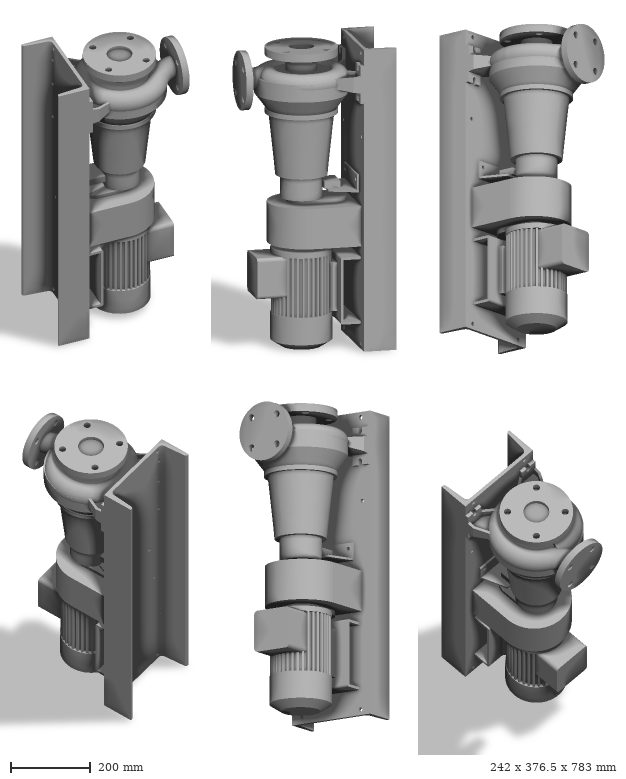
import cadquery as cq
import math


CHANNEL_WIDTH = 239.5
CHANNEL_LENGTH = 780.0
CHANNEL_DEPTH = 84.5
WEB_THICKNESS = 9.5
FLANGE_ROOT = 16.0
FLANGE_TIP = 9.5
ROOT_FILLET = 12.0
TIP_FILLET = 6.0
WEB_FACE_Y = -132.0
CORNER_HOLE_DIAMETER = 12.0
MOUNT_HOLE_DIAMETER = 10.0
GUARD_HOLE_DIAMETER = 8.0
HOLE_REACH = 16.0
CORNER_HOLE_X = 90.0
CORNER_HOLE_INSET = 14.0
FOOT_HOLE_X = 95.0
SPARE_HOLE_Z = 550.5
SUPPORT_HOLE_X = 55.5
SUPPORT_HOLE_Z = 431.5
GUARD_HOLE_X = 77.0
GUARD_HOLE_Z = 311.0

FRAME_BOTTOM_Z = 381.0
FRAME_RADIUS = 53.0
LANTERN_BOTTOM_Z = 440.0
LANTERN_BOTTOM_RADIUS = 66.0
LANTERN_TOP_RADIUS = 83.0
RING_BOTTOM_Z = 600.0
RING_TOP_Z = 611.5
RING_RADIUS = 92.5
CASING_CONE_RADIUS = 88.5
CASING_BOTTOM_Z = 652.0
CASING_TOP_Z = 697.0
CASING_RADIUS = 119.0

VOLUTE_Z = 690.0
TUBE_RADIUS = 28.0
VOLUTE_RIGHT = 94.0
VOLUTE_LEFT = 92.0
START_ARC_RADIUS = 84.0
START_ANGLE = 75.0
COVER_RADIUS = 78.0
COVER_TOP_Z = 709.5

FLANGE_HOLE_DIAMETER = 18.0
SUCTION_TOP_Z = 770.0
SUCTION_THICKNESS = 20.0
SUCTION_RADIUS = 92.5
SUCTION_BOLT_CIRCLE = 145.0
SUCTION_NECK_RADIUS = 40.0
SUCTION_BORE_DIAMETER = 65.0
SUCTION_BORE_DEPTH = 10.0
DISCHARGE_FACE_Y = 160.0
DISCHARGE_THICKNESS = 18.0
DISCHARGE_RADIUS = 75.0
DISCHARGE_BOLT_CIRCLE = 110.0

FOOT_HALF_WIDTH = CHANNEL_WIDTH / 2
PAD_THICKNESS = 9.5
PAD_HEIGHT = 97.0
SLOT_WIDTH = 12.5
FOOT_BOLT_SPACING = 75.0
FOOT_SHOULDER_Y = -106.0
FOOT_TOP_Y = -65.0
FOOT_TOP_HALF_WIDTH = 98.0
ARCH_HALF_WIDTH = 72.0
ARCH_TOP_HALF_WIDTH = 35.0
ARCH_TOP_Y = -106.5
FOOT_BASE_THICKNESS = 44.0
FOOT_TOP_THICKNESS = 25.0
FOOT_WALL = 7.0

SUPPORT_BOTTOM_Z = 400.0
SUPPORT_TOP_Z = 446.0
SUPPORT_SHEET = 5.5
UPRIGHT_WIDTH = 141.0
LEG_TIP_WIDTH = 86.0
LEG_TIP_Y = -59.5
BLOCK_WIDTH = 63.0
BLOCK_HEIGHT = 18.0
BLOCK_FRONT_Y = -52.0
BLOCK_BACK_Y = -94.0

GUARD_AXIS_Y = -8.0
GUARD_RADIUS = 95.0
GUARD_BOTTOM_Z = 266.0
GUARD_TOP_Z = 370.0
COLLAR_RADIUS = 46.0
COLLAR_LOW_AXIS_Y = -70.0
COLLAR_TOP_LENGTH = 10.0
COLLAR_BOTTOM_LENGTH = 12.5

MOTOR_RADIUS = 78.0
MOTOR_TOP_Z = 252.0
MOTOR_FLANGE_Z = 239.0
FIN_BOTTOM_Z = 85.0
COVER_CONE_Z = 15.0
MOTOR_BOTTOM_Z = -3.0
COVER_END_RADIUS = 50.0
FIN_ROOT_RADIUS = 69.0
FIN_TIP_RADIUS = 77.0
FIN_THICKNESS = 5.5
FIN_ROOT_OVERLAP = 4.0
FIN_COUNT = 36
BOX_HALF_WIDTH = 53.0
BOX_FACE_Y = 127.0
BOX_BOTTOM_Z = 133.0
BOX_FILLET = 9.5
CRADLE_WIDTH = 175.5
CRADLE_FACE_Y = -81.0
CRADLE_BOTTOM_Z = 65.0
CRADLE_SHEET = 7.0
CRADLE_BEND = 5.5
SADDLE_HALF_WIDTH = 51.0
SADDLE_NECK_HALF_WIDTH = 39.0
SADDLE_SHOULDER_Y = -70.0
SADDLE_NECK_Y = -61.0
SADDLE_BOTTOM_Z = 92.5
SADDLE_TOP_Z = 217.0


def block(x_min, x_max, y_min, y_max, z_min, z_max):
    """Box given by its limits along each axis."""
    size = (x_max - x_min, y_max - y_min, z_max - z_min)
    return cq.Workplane("XY").box(*size, centered=False).translate((x_min, y_min, z_min))


def centred_block(width, y_min, y_max, z_min, z_max):
    """Box that is symmetric about X = 0."""
    return block(-width / 2, width / 2, y_min, y_max, z_min, z_max)


def disc(radius, z_min, z_max):
    """Round disc on the pump axis."""
    return cq.Workplane("XY").workplane(offset=z_min).circle(radius).extrude(z_max - z_min)


def mirrored_pair(x, z):
    return [(-x, z), (x, z)]


def web_hole_cutters(points, diameter):
    """Cylinders along Y that reach through the channel web and the parts bolted against it."""
    plane = cq.Workplane("XZ", origin=(0, WEB_FACE_Y + HOLE_REACH, 0))
    return plane.pushPoints(points).circle(diameter / 2).extrude(2 * HOLE_REACH)


def bolt_pattern(workplane, bolt_circle):
    """Four flange holes placed between the main axes of the flange."""
    side = bolt_circle / math.sqrt(2)
    return workplane.rect(side, side, forConstruction=True).vertices().circle(FLANGE_HOLE_DIAMETER / 2)


def make_channel():
    half = CHANNEL_WIDTH / 2
    tip_y = WEB_FACE_Y - CHANNEL_DEPTH
    web_back_y = WEB_FACE_Y - WEB_THICKNESS
    channel = (
        cq.Workplane("XY")
        .polyline([
            (-half, WEB_FACE_Y),
            (half, WEB_FACE_Y),
            (half, tip_y),
            (half - FLANGE_TIP, tip_y),
            (half - FLANGE_ROOT, web_back_y),
            (-half + FLANGE_ROOT, web_back_y),
            (-half + FLANGE_TIP, tip_y),
            (-half, tip_y),
        ])
        .close()
        .extrude(CHANNEL_LENGTH)
    )
    for side in (-1, 1):
        root = cq.NearestToPointSelector((side * (half - FLANGE_ROOT), web_back_y, CHANNEL_LENGTH / 2))
        channel = channel.edges("|Z").edges(root).fillet(ROOT_FILLET)
        tip = cq.NearestToPointSelector((side * (half - FLANGE_TIP), tip_y, CHANNEL_LENGTH / 2))
        channel = channel.edges("|Z").edges(tip).fillet(TIP_FILLET)

    corner_holes = []
    for z in (CORNER_HOLE_INSET, CHANNEL_LENGTH - CORNER_HOLE_INSET):
        corner_holes += mirrored_pair(CORNER_HOLE_X, z)
    mount_holes = mirrored_pair(SUPPORT_HOLE_X, SUPPORT_HOLE_Z)
    for z in (SPARE_HOLE_Z, VOLUTE_Z - FOOT_BOLT_SPACING / 2, VOLUTE_Z + FOOT_BOLT_SPACING / 2):
        mount_holes += mirrored_pair(FOOT_HOLE_X, z)
    guard_holes = mirrored_pair(GUARD_HOLE_X, GUARD_HOLE_Z)

    channel = channel.cut(web_hole_cutters(corner_holes, CORNER_HOLE_DIAMETER))
    channel = channel.cut(web_hole_cutters(mount_holes, MOUNT_HOLE_DIAMETER))
    return channel.cut(web_hole_cutters(guard_holes, GUARD_HOLE_DIAMETER))


def make_casing():
    """Turned body of the casing, lantern and bearing frame."""
    return (
        cq.Workplane("XZ")
        .polyline([
            (0, FRAME_BOTTOM_Z),
            (FRAME_RADIUS, FRAME_BOTTOM_Z),
            (FRAME_RADIUS, LANTERN_BOTTOM_Z),
            (LANTERN_BOTTOM_RADIUS, LANTERN_BOTTOM_Z),
            (LANTERN_TOP_RADIUS, RING_BOTTOM_Z),
            (RING_RADIUS, RING_BOTTOM_Z),
            (RING_RADIUS, RING_TOP_Z),
            (CASING_CONE_RADIUS, RING_TOP_Z),
            (CASING_RADIUS, CASING_BOTTOM_Z),
            (CASING_RADIUS, CASING_TOP_Z),
            (0, CASING_TOP_Z),
        ])
        .close()
        .revolve(360, (0, 0), (0, 1))
    )


def sweep_tube(path, start, degrees):
    """Round tube along a path that starts at the given XY point in the given direction."""
    direction = math.radians(degrees)
    section = cq.Plane(
        origin=(*start, VOLUTE_Z), xDir=(0, 0, 1), normal=(math.cos(direction), math.sin(direction), 0)
    )
    return cq.Workplane(section).circle(TUBE_RADIUS).sweep(path.wire())


def make_spiral():
    """First part of the volute, from its start beside the outlet round to the +X side."""
    start_centre_x = START_ARC_RADIUS - VOLUTE_LEFT

    def start_point(degrees):
        angle = math.radians(degrees)
        return (start_centre_x + START_ARC_RADIUS * math.cos(angle), START_ARC_RADIUS * math.sin(angle))

    begin = start_point(START_ANGLE)
    path = (
        cq.Workplane("XY", origin=(0, 0, VOLUTE_Z))
        .moveTo(*begin)
        .threePointArc(start_point((START_ANGLE + 180) / 2), (-VOLUTE_LEFT, 0))
        .tangentArcPoint((VOLUTE_RIGHT, 0), relative=False)
    )
    return sweep_tube(path, begin, START_ANGLE + 90)


def make_outlet():
    """Last part of the volute and the elbow that leads to the discharge flange."""
    elbow_radius = (DISCHARGE_FACE_Y**2 - VOLUTE_RIGHT**2) / (2 * VOLUTE_RIGHT)
    elbow_angle = math.atan2(DISCHARGE_FACE_Y, elbow_radius)
    half_angle = elbow_angle / 2
    begin = (VOLUTE_RIGHT, 0)
    path = (
        cq.Workplane("XY", origin=(0, 0, VOLUTE_Z))
        .moveTo(*begin)
        .threePointArc(
            (VOLUTE_RIGHT * math.cos(half_angle), VOLUTE_RIGHT * math.sin(half_angle)),
            (VOLUTE_RIGHT * math.cos(elbow_angle), VOLUTE_RIGHT * math.sin(elbow_angle)),
        )
        .tangentArcPoint((0, DISCHARGE_FACE_Y), relative=False)
    )
    return sweep_tube(path, begin, 90)


def make_suction():
    """Cover, neck and drilled suction flange."""
    flange_bottom = SUCTION_TOP_Z - SUCTION_THICKNESS
    cover = disc(COVER_RADIUS, CASING_TOP_Z, COVER_TOP_Z)
    neck = disc(SUCTION_NECK_RADIUS, CASING_TOP_Z, flange_bottom)
    flange = disc(SUCTION_RADIUS, flange_bottom, SUCTION_TOP_Z)
    holes = bolt_pattern(cq.Workplane("XY", origin=(0, 0, flange_bottom)), SUCTION_BOLT_CIRCLE)
    bore = disc(SUCTION_BORE_DIAMETER / 2, SUCTION_TOP_Z - SUCTION_BORE_DEPTH, SUCTION_TOP_Z)
    flange = flange.cut(holes.extrude(SUCTION_THICKNESS)).cut(bore)
    return cover.union(neck).union(flange)


def make_discharge_flange():
    face = cq.Workplane("XZ", origin=(0, DISCHARGE_FACE_Y, VOLUTE_Z))
    flange = face.circle(DISCHARGE_RADIUS).extrude(DISCHARGE_THICKNESS)
    return flange.cut(bolt_pattern(face, DISCHARGE_BOLT_CIRCLE).extrude(DISCHARGE_THICKNESS))


def make_foot_half():
    """The +X leg of the foot: a tapered, pocketed wall on a slotted pad."""
    outline = [
        (0, FOOT_TOP_Y),
        (FOOT_TOP_HALF_WIDTH, FOOT_TOP_Y),
        (FOOT_HALF_WIDTH, FOOT_SHOULDER_Y),
        (FOOT_HALF_WIDTH, WEB_FACE_Y),
        (ARCH_HALF_WIDTH, WEB_FACE_Y),
        (ARCH_TOP_HALF_WIDTH, ARCH_TOP_Y),
        (0, ARCH_TOP_Y),
    ]
    half_base = FOOT_BASE_THICKNESS / 2
    half_top = FOOT_TOP_THICKNESS / 2
    pad_top_y = WEB_FACE_Y + PAD_THICKNESS
    plane = cq.Workplane("XY", origin=(0, 0, VOLUTE_Z))
    wall = plane.polyline(outline).close().extrude(half_base, both=True)
    taper = (
        cq.Workplane("YZ")
        .polyline([
            (WEB_FACE_Y, VOLUTE_Z - half_base),
            (pad_top_y, VOLUTE_Z - half_base),
            (FOOT_TOP_Y, VOLUTE_Z - half_top),
            (FOOT_TOP_Y, VOLUTE_Z + half_top),
            (pad_top_y, VOLUTE_Z + half_base),
            (WEB_FACE_Y, VOLUTE_Z + half_base),
        ])
        .close()
        .extrude(FOOT_HALF_WIDTH)
    )
    pocket = plane.polyline(outline).close().offset2D(-FOOT_WALL).extrude(half_base)
    leg = wall.intersect(taper).cut(pocket)

    pad_bottom = VOLUTE_Z - PAD_HEIGHT / 2
    pad_top = VOLUTE_Z + PAD_HEIGHT / 2
    pad = block(ARCH_HALF_WIDTH, FOOT_HALF_WIDTH, WEB_FACE_Y, pad_top_y, pad_bottom, pad_top)
    slot_length = PAD_HEIGHT - FOOT_BOLT_SPACING + SLOT_WIDTH
    for z in (pad_bottom, pad_top):
        slot = (
            cq.Workplane("XZ", origin=(FOOT_HOLE_X, pad_top_y, z))
            .slot2D(slot_length, SLOT_WIDTH, 90)
            .extrude(PAD_THICKNESS)
        )
        pad = pad.cut(slot)
    return leg.union(pad)


def make_pump():
    leg = make_foot_half()
    pump = make_casing().union(make_spiral()).union(make_outlet())
    pump = pump.union(make_suction()).union(make_discharge_flange())
    return pump.union(leg).union(leg.mirror("YZ"))


def make_support():
    """Bent sheet with a tapered leg and a block that bears against the round bearing frame."""
    leg_top = SUPPORT_BOTTOM_Z + SUPPORT_SHEET
    upright = centred_block(
        UPRIGHT_WIDTH, WEB_FACE_Y, WEB_FACE_Y + SUPPORT_SHEET, SUPPORT_BOTTOM_Z, SUPPORT_TOP_Z
    )
    upright = upright.cut(
        web_hole_cutters(mirrored_pair(SUPPORT_HOLE_X, SUPPORT_HOLE_Z), MOUNT_HOLE_DIAMETER)
    )
    leg = (
        cq.Workplane("XY", origin=(0, 0, SUPPORT_BOTTOM_Z))
        .polyline([
            (-UPRIGHT_WIDTH / 2, WEB_FACE_Y),
            (UPRIGHT_WIDTH / 2, WEB_FACE_Y),
            (LEG_TIP_WIDTH / 2, LEG_TIP_Y),
            (-LEG_TIP_WIDTH / 2, LEG_TIP_Y),
        ])
        .close()
        .extrude(SUPPORT_SHEET)
    )
    bearing = centred_block(BLOCK_WIDTH, BLOCK_BACK_Y, BLOCK_FRONT_Y, leg_top, leg_top + BLOCK_HEIGHT)
    bearing = bearing.cut(disc(FRAME_RADIUS, SUPPORT_BOTTOM_Z, SUPPORT_TOP_Z))
    return upright.union(leg).union(bearing)


def make_guard():
    """U-shaped hood closed against the channel, with a long collar at each end."""
    hood = (
        cq.Workplane("XY", origin=(0, 0, GUARD_BOTTOM_Z))
        .moveTo(-GUARD_RADIUS, WEB_FACE_Y)
        .lineTo(-GUARD_RADIUS, GUARD_AXIS_Y)
        .threePointArc((0, GUARD_AXIS_Y + GUARD_RADIUS), (GUARD_RADIUS, GUARD_AXIS_Y))
        .lineTo(GUARD_RADIUS, WEB_FACE_Y)
        .close()
        .extrude(GUARD_TOP_Z - GUARD_BOTTOM_Z)
    )
    collar_bottom = GUARD_BOTTOM_Z - COLLAR_BOTTOM_LENGTH
    collar_top = GUARD_TOP_Z + COLLAR_TOP_LENGTH
    collar = (
        cq.Workplane("XY", origin=(0, (GUARD_AXIS_Y + COLLAR_LOW_AXIS_Y) / 2, collar_bottom))
        .slot2D(GUARD_AXIS_Y - COLLAR_LOW_AXIS_Y + 2 * COLLAR_RADIUS, 2 * COLLAR_RADIUS, 90)
        .extrude(collar_top - collar_bottom)
    )
    return hood.union(collar)


def make_motor_frame():
    """Turned motor body with its mounting flange and rear cover."""
    return (
        cq.Workplane("XZ")
        .polyline([
            (0, MOTOR_BOTTOM_Z),
            (COVER_END_RADIUS, MOTOR_BOTTOM_Z),
            (MOTOR_RADIUS, COVER_CONE_Z),
            (MOTOR_RADIUS, FIN_BOTTOM_Z),
            (FIN_ROOT_RADIUS, FIN_BOTTOM_Z),
            (FIN_ROOT_RADIUS, MOTOR_FLANGE_Z),
            (MOTOR_RADIUS, MOTOR_FLANGE_Z),
            (MOTOR_RADIUS, MOTOR_TOP_Z),
            (0, MOTOR_TOP_Z),
        ])
        .close()
        .revolve(360, (0, 0), (0, 1))
    )


def make_fins():
    length = FIN_TIP_RADIUS - FIN_ROOT_RADIUS + FIN_ROOT_OVERLAP
    return (
        cq.Workplane("XY", origin=(0, 0, FIN_BOTTOM_Z))
        .polarArray(FIN_TIP_RADIUS - length / 2, 0, 360, FIN_COUNT)
        .rect(length, FIN_THICKNESS)
        .extrude(MOTOR_FLANGE_Z - FIN_BOTTOM_Z)
    )


def make_terminal_box():
    box = centred_block(2 * BOX_HALF_WIDTH, 0, BOX_FACE_Y, BOX_BOTTOM_Z, MOTOR_FLANGE_Z)
    return box.edges("|Y").fillet(BOX_FILLET)


def make_cradle():
    """Bent sheet bracket that carries the motor on a saddle block."""
    outer = centred_block(CRADLE_WIDTH, WEB_FACE_Y, CRADLE_FACE_Y, CRADLE_BOTTOM_Z, MOTOR_FLANGE_Z)
    outer = outer.edges("|X and >Y").fillet(CRADLE_BEND)
    opening = centred_block(
        CRADLE_WIDTH,
        WEB_FACE_Y,
        CRADLE_FACE_Y - CRADLE_SHEET,
        CRADLE_BOTTOM_Z + CRADLE_SHEET,
        MOTOR_FLANGE_Z - CRADLE_SHEET,
    )
    saddle = (
        cq.Workplane("XY", origin=(0, 0, SADDLE_BOTTOM_Z))
        .polyline([
            (-SADDLE_HALF_WIDTH, CRADLE_FACE_Y),
            (SADDLE_HALF_WIDTH, CRADLE_FACE_Y),
            (SADDLE_HALF_WIDTH, SADDLE_SHOULDER_Y),
            (SADDLE_NECK_HALF_WIDTH, SADDLE_NECK_Y),
            (SADDLE_NECK_HALF_WIDTH, 0),
            (-SADDLE_NECK_HALF_WIDTH, 0),
            (-SADDLE_NECK_HALF_WIDTH, SADDLE_NECK_Y),
            (-SADDLE_HALF_WIDTH, SADDLE_SHOULDER_Y),
        ])
        .close()
        .extrude(SADDLE_TOP_Z - SADDLE_BOTTOM_Z)
    )
    return outer.cut(opening).union(saddle)


def make_motor():
    return make_motor_frame().union(make_fins()).union(make_terminal_box()).union(make_cradle())


channel = make_channel()
pump = make_pump()
support = make_support()
guard = make_guard()
motor = make_motor()

result = cq.Compound.makeCompound([
    channel.solids().val(),
    pump.solids().val(),
    support.solids().val(),
    guard.solids().val(),
    motor.solids().val(),
])